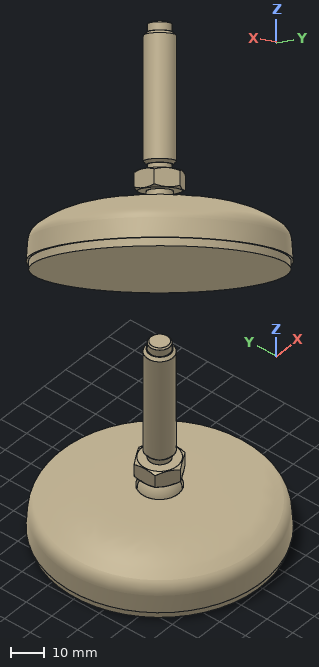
import cadquery as cq
import math

plate_diameter = 79.66
pad_diameter = 78.2
pad_height = 2.5
rim_top_diameter = 78.8
rim_top_z = 8.6
shoulder_diameter = 74.2
shoulder_z = 12.75
plateau_diameter = 35.7
plateau_z = 19.0

bush_diameter = 18.5
socket_diameter = 14.2
socket_depth = 3.0

ball_diameter = 13.8
neck_diameter = 8.06
neck_z = 21.75
hex_bottom_z = 23.7
hex_height = 6.0
hex_across_flats = 14.0
hex_bevel_diameter = 13.6
hex_bevel_angle = 30.0
core_diameter = 7.5
thread_diameter = 10.0
thread_chamfer = (thread_diameter - neck_diameter) / 2
thread_bottom_z = 31.7
thread_top_z = 71.7
tip_chamfer = 0.5
overall_height = 74.7


def arc_middle(start, end, start_direction):
    """Middle point of the arc that leaves start along a unit direction and reaches end."""
    chord_x = end[0] - start[0]
    chord_z = end[1] - start[1]
    chord = math.hypot(chord_x, chord_z)
    half_angle = math.atan2(chord_z, chord_x) - math.atan2(start_direction[1], start_direction[0])
    sagitta = chord / 2 * math.tan(half_angle / 2)
    return (
        (start[0] + end[0]) / 2 + chord_z / chord * sagitta,
        (start[1] + end[1]) / 2 - chord_x / chord * sagitta,
    )


def revolve_profile(profile):
    """Full turn of a closed XZ profile about the Z axis."""
    return profile.close().revolve(360, (0, 0, 0), (0, 1, 0), clean=False)


def make_plate():
    plateau_edge = (plateau_diameter / 2, plateau_z)
    shoulder = (shoulder_diameter / 2, shoulder_z)
    rim_top = (rim_top_diameter / 2, rim_top_z)
    rim_length = math.hypot(rim_top_z - pad_height, (plate_diameter - rim_top_diameter) / 2)
    rim_direction = (
        (rim_top_diameter - plate_diameter) / 2 / rim_length,
        (rim_top_z - pad_height) / rim_length,
    )
    floor_z = plateau_z - socket_depth
    profile = (
        cq.Workplane("XZ")
        .lineTo(pad_diameter / 2, 0)
        .lineTo(pad_diameter / 2, pad_height)
        .lineTo(plate_diameter / 2, pad_height)
        .lineTo(*rim_top)
        .threePointArc(arc_middle(rim_top, shoulder, rim_direction), shoulder)
        .threePointArc(arc_middle(plateau_edge, shoulder, (1, 0)), plateau_edge)
        .lineTo(bush_diameter / 2, plateau_z)
        .lineTo(socket_diameter / 2, plateau_z)
        .lineTo(socket_diameter / 2, floor_z)
        .lineTo(0, floor_z)
    )
    return revolve_profile(profile)


def make_spindle():
    ball_radius = ball_diameter / 2
    neck_radius = neck_diameter / 2
    core_radius = core_diameter / 2
    thread_radius = thread_diameter / 2
    ball_center_z = neck_z - math.sqrt(ball_radius**2 - neck_radius**2)
    profile = (
        cq.Workplane("XZ")
        .moveTo(0, ball_center_z - ball_radius)
        .threePointArc((ball_radius, ball_center_z), (neck_radius, neck_z))
        .lineTo(neck_radius, hex_bottom_z)
        .lineTo(core_radius, hex_bottom_z)
        .lineTo(core_radius, thread_bottom_z)
        .lineTo(neck_radius, thread_bottom_z)
        .lineTo(thread_radius, thread_bottom_z + thread_chamfer)
        .lineTo(thread_radius, thread_top_z - thread_chamfer)
        .lineTo(neck_radius, thread_top_z)
        .lineTo(core_radius, thread_top_z)
        .lineTo(core_radius, overall_height - tip_chamfer)
        .lineTo(core_radius - tip_chamfer, overall_height)
        .lineTo(0, overall_height)
    )
    return revolve_profile(profile)


def make_hexagon():
    across_corners = hex_across_flats / math.cos(math.pi / 6)
    corner_radius = across_corners / 2
    bevel_radius = hex_bevel_diameter / 2
    bevel_drop = (corner_radius - bevel_radius) * math.tan(math.radians(hex_bevel_angle))
    top_z = hex_bottom_z + hex_height
    prism = (
        cq.Workplane("XY", origin=(0, 0, hex_bottom_z))
        .transformed(rotate=(0, 0, 90))
        .polygon(6, across_corners)
        .extrude(hex_height)
    )
    bevel_envelope = revolve_profile(
        cq.Workplane("XZ")
        .moveTo(0, hex_bottom_z)
        .lineTo(bevel_radius, hex_bottom_z)
        .lineTo(corner_radius, hex_bottom_z + bevel_drop)
        .lineTo(corner_radius, top_z - bevel_drop)
        .lineTo(bevel_radius, top_z)
        .lineTo(0, top_z)
    )
    return prism.intersect(bevel_envelope)


spindle = make_spindle().union(make_hexagon())
result = cq.Workplane(make_plate().union(spindle, clean=False).solids().val())